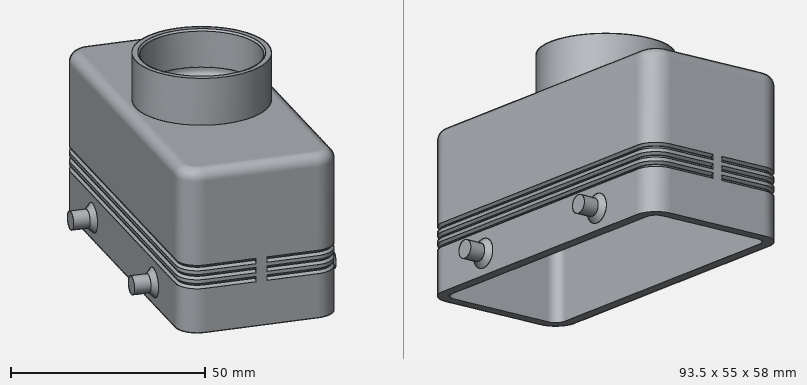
import cadquery as cq

BODY_LENGTH = 93.5
BODY_WIDTH = 43.0
BODY_HEIGHT = 45.0
CORNER_RADIUS = 6.0
TOP_EDGE_RADIUS = 3.0
WALL = 3.0
CEILING_Z = BODY_HEIGHT - WALL

TOTAL_HEIGHT = 58.0
COLLAR_RADIUS = 18.0
COLLAR_BORE_RADIUS = 16.0
COLLAR_LEAD_IN = 0.5
SEAT_RADIUS = 15.0
UNDERCUT_RADIUS = 16.5
UNDERCUT_HEIGHT = 2.5
SEAT_FILLET = UNDERCUT_RADIUS - SEAT_RADIUS
ENTRY_HOLE_RADIUS = 13.5
CHAMFER_ANGLE = 45.0

GROOVE_COUNT = 3
GROOVE_PITCH = 2.5
GROOVE_WIDTH = 1.5
GROOVE_FLOOR = 0.1
GROOVE_DEPTH = (GROOVE_WIDTH - GROOVE_FLOOR) / 2
LOWEST_GROOVE_Z = 13.0
GROOVE_GAP = 3.0

PEG_SPACING = 47.5
PEG_Z = 6.0
PEG_RADIUS = 2.5
PEG_TIP_SPAN = 55.0
PEG_BASE_RADIUS = 4.0
PEG_CONE_HEIGHT = PEG_BASE_RADIUS - PEG_RADIUS


def rounded_block(length, width, height, corner_radius):
    """Upright block with rounded vertical corners, standing on Z = 0."""
    block = cq.Workplane("XY").box(length, width, height, centered=(True, True, False))
    return block.edges("|Z").fillet(corner_radius)


def body_shell():
    """Hollow hood, open at the bottom, with a rounded roof edge."""
    outer = rounded_block(BODY_LENGTH, BODY_WIDTH, BODY_HEIGHT, CORNER_RADIUS)
    outer = outer.faces(">Z").edges().fillet(TOP_EDGE_RADIUS)
    cavity = rounded_block(
        BODY_LENGTH - 2 * WALL,
        BODY_WIDTH - 2 * WALL,
        CEILING_Z,
        CORNER_RADIUS - WALL,
    )
    return outer.cut(cavity)


def groove(z):
    """V-groove with a narrow flat floor, interrupted in the middle of each short side."""
    path = (
        rounded_block(BODY_LENGTH, BODY_WIDTH, BODY_HEIGHT, CORNER_RADIUS)
        .translate((0, 0, z))
        .faces("<Z")
        .wires()
        .val()
    )
    profile = [
        (0, GROOVE_WIDTH / 2),
        (GROOVE_DEPTH, GROOVE_FLOOR / 2),
        (GROOVE_DEPTH, -GROOVE_FLOOR / 2),
        (0, -GROOVE_WIDTH / 2),
    ]
    ring = (
        cq.Workplane("YZ", origin=(0, -BODY_WIDTH / 2, z))
        .polyline(profile)
        .close()
        .sweep(cq.Workplane(path))
    )
    bridge = cq.Workplane("XY", origin=(0, 0, z)).box(2 * BODY_LENGTH, GROOVE_GAP, 2 * GROOVE_WIDTH)
    return ring.cut(bridge)


def collar():
    """Cylinder standing on the roof around the cable entry."""
    return (
        cq.Workplane("XY", origin=(0, 0, CEILING_Z))
        .circle(COLLAR_RADIUS)
        .extrude(TOTAL_HEIGHT - CEILING_Z)
    )


def entry_bore():
    """Stepped bore: chamfered mouth, straight bore, undercut with rounded seat, through hole."""
    undercut_top = BODY_HEIGHT + UNDERCUT_HEIGHT
    bore = (
        cq.Workplane("XY", origin=(0, 0, undercut_top))
        .circle(COLLAR_BORE_RADIUS)
        .extrude(TOTAL_HEIGHT - undercut_top)
    )
    undercut = (
        cq.Workplane("XY", origin=(0, 0, BODY_HEIGHT))
        .circle(UNDERCUT_RADIUS)
        .extrude(UNDERCUT_HEIGHT)
        .faces("<Z")
        .edges()
        .fillet(SEAT_FILLET)
    )
    mouth = (
        cq.Workplane("XY", origin=(0, 0, TOTAL_HEIGHT))
        .circle(COLLAR_BORE_RADIUS + COLLAR_LEAD_IN)
        .extrude(-COLLAR_LEAD_IN, taper=CHAMFER_ANGLE)
    )
    hole = (
        cq.Workplane("XY", origin=(0, 0, CEILING_Z))
        .circle(ENTRY_HOLE_RADIUS)
        .extrude(WALL)
    )
    return bore.union(undercut).union(mouth).union(hole)


def peg(x, side):
    """Locking peg with a conical base, pointing along -Y (side = -1) or +Y (side = +1)."""
    inner_y = BODY_WIDTH / 2 - WALL / 2
    wall_y = BODY_WIDTH / 2
    profile = [
        (0, inner_y),
        (PEG_BASE_RADIUS, inner_y),
        (PEG_BASE_RADIUS, wall_y),
        (PEG_RADIUS, wall_y + PEG_CONE_HEIGHT),
        (PEG_RADIUS, PEG_TIP_SPAN / 2),
        (0, PEG_TIP_SPAN / 2),
    ]
    outward = [(radius, side * y) for radius, y in profile]
    turned = cq.Workplane("XY").polyline(outward).close().revolve(360, (0, 0, 0), (0, 1, 0))
    return turned.translate((x, 0, PEG_Z))


result = body_shell().union(collar()).cut(entry_bore())

for index in range(GROOVE_COUNT):
    result = result.cut(groove(LOWEST_GROOVE_Z + index * GROOVE_PITCH))

for peg_x in (-PEG_SPACING / 2, PEG_SPACING / 2):
    for peg_side in (-1, 1):
        result = result.union(peg(peg_x, peg_side))